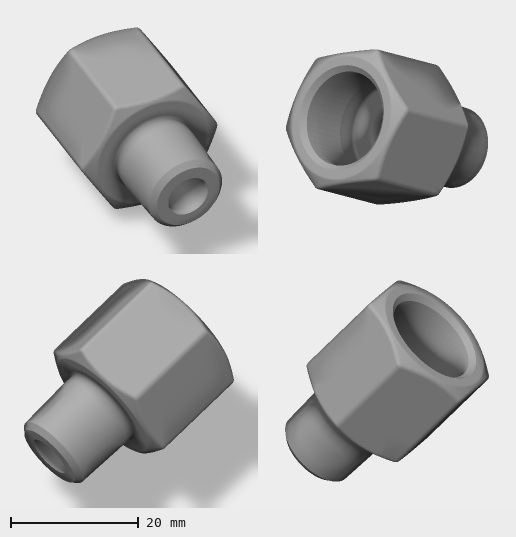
import cadquery as cq
import math

total_length = 30.5
hex_length = 18.5

hex_sides = 6
across_flats = 21.0
corner_radius = 1.0
end_face_radius = 9.85
end_bevel_angle = 30.0
bevel_flat_radius = 0.7
bevel_face_radius = 0.73

spigot_radius = 13.4 / 2
spigot_straight_end = 20.77
spigot_root_radius = 0.5
spigot_tip_chamfer = 0.9

socket_radius = 14.95 / 2
relief_radius = 15.15 / 2
relief_start = 9.52
socket_depth = 13.0
socket_floor_fillet = 0.5
mouth_chamfer = 0.85

hole_radius = 7.0 / 2
hole_entry_radius = 1.0

taper_slope = 1 / 32


def revolve_about_x(profile):
    return profile.close().revolve(360, (0, 0, 0), (1, 0, 0))


def make_hex_body():
    across_corners = across_flats / math.cos(math.pi / hex_sides)
    prism = cq.Workplane("YZ").polygon(hex_sides, across_corners).extrude(hex_length)
    prism = prism.edges("|X").fillet(corner_radius)

    bevel = math.radians(end_bevel_angle)
    blend_tangent = bevel_face_radius * math.tan(bevel / 2)
    blend_inner_radius = end_face_radius - blend_tangent
    blend_outer_radius = end_face_radius + blend_tangent * math.cos(bevel)
    blend_depth = blend_tangent * math.sin(bevel)
    envelope_radius = across_corners / 2 + 0.3
    bevel_depth = (envelope_radius - end_face_radius) * math.tan(bevel)
    envelope = revolve_about_x(
        cq.Workplane("XY")
        .lineTo(0, blend_inner_radius)
        .radiusArc((blend_depth, blend_outer_radius), bevel_face_radius)
        .lineTo(bevel_depth, envelope_radius)
        .lineTo(hex_length - bevel_depth, envelope_radius)
        .lineTo(hex_length - blend_depth, blend_outer_radius)
        .radiusArc((hex_length, blend_inner_radius), bevel_face_radius)
        .lineTo(hex_length, 0)
    )
    body = prism.intersect(envelope)
    return body.faces("%CONE").edges("not %CIRCLE").fillet(bevel_flat_radius)


def make_spigot():
    tip_start = total_length - spigot_tip_chamfer
    tip_radius = spigot_radius - (tip_start - spigot_straight_end) * taper_slope
    root = spigot_root_radius
    return revolve_about_x(
        cq.Workplane("XY")
        .moveTo(hex_length - root, 0)
        .lineTo(hex_length - root, spigot_radius + root)
        .lineTo(hex_length, spigot_radius + root)
        .radiusArc((hex_length + root, spigot_radius), -root)
        .lineTo(spigot_straight_end, spigot_radius)
        .lineTo(tip_start, tip_radius)
        .lineTo(total_length, tip_radius - spigot_tip_chamfer)
        .lineTo(total_length, 0)
    )


def make_bore():
    floor_fillet = socket_floor_fillet
    return revolve_about_x(
        cq.Workplane("XY")
        .lineTo(0, socket_radius + mouth_chamfer)
        .lineTo(mouth_chamfer, socket_radius)
        .lineTo(relief_start, socket_radius)
        .lineTo(relief_start, relief_radius)
        .lineTo(socket_depth - floor_fillet, relief_radius)
        .radiusArc((socket_depth, relief_radius - floor_fillet), floor_fillet)
        .lineTo(socket_depth, hole_radius + hole_entry_radius)
        .radiusArc((socket_depth + hole_entry_radius, hole_radius), -hole_entry_radius)
        .lineTo(total_length, hole_radius)
        .lineTo(total_length, 0)
    )


result = make_hex_body().union(make_spigot()).cut(make_bore())